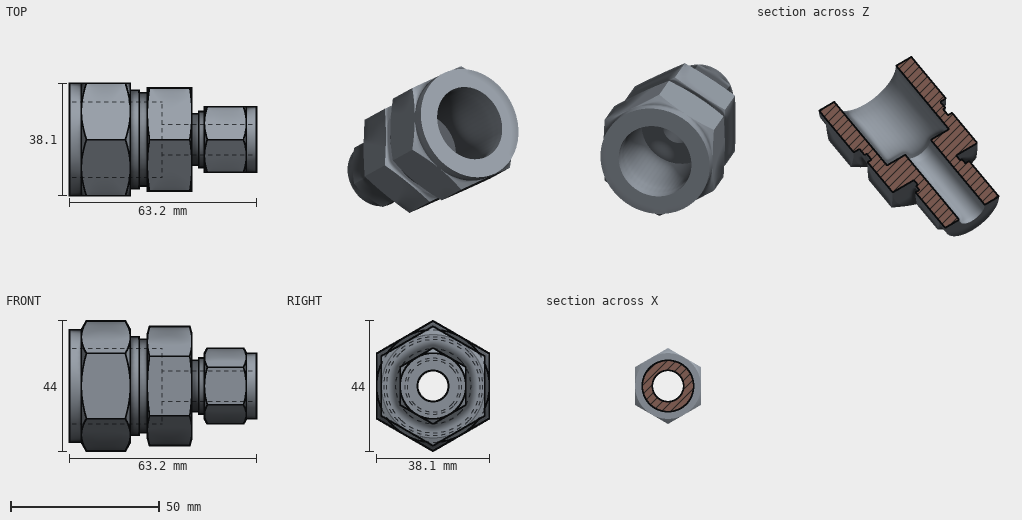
import cadquery as cq
import math


LARGE_NUT_START = 4.06
LARGE_NUT_END = 20.6
LARGE_COLLAR_END = 23.6
BODY_HEX_START = 26.35
BODY_HEX_END = 41.4
SMALL_NECK_END = 43.65
SMALL_NUT_START = 45.6
SMALL_NUT_END = 59.8
TOTAL_LENGTH = 63.24

LARGE_NUT_FLATS = 38.1
BODY_FLATS = 34.925
SMALL_NUT_FLATS = 22.225

LARGE_COLLAR_DIAMETER = 33.4
LARGE_NECK_DIAMETER = 31.6
SMALL_NECK_DIAMETER = 17.53
SMALL_COLLAR_DIAMETER = 19.05

NUT_BEVEL_ANGLE = 30.0
BODY_BEVEL_ANGLE = 15.0

TUBE_SOCKET_DIAMETER = 25.4
TUBE_SOCKET_DEPTH = 31.2
THROUGH_BORE_DIAMETER = 10.4


def cylinder(start, end, diameter):
    """Round section between two stations on the X axis."""
    return cq.Workplane("YZ", origin=(start, 0, 0)).circle(diameter / 2).extrude(end - start)


def bevelled_hexagon(start, end, flats, bevel_angle):
    """Hexagon with corners at top and bottom, its corners bevelled by a cone at both ends.

    Each cone meets the end face on the circle that touches the flats.
    """
    inner_radius = flats / 2
    corner_radius = flats / math.sqrt(3)
    bevel_length = (corner_radius - inner_radius) * math.tan(math.radians(bevel_angle))

    prism = (
        cq.Workplane("YZ", origin=(start, 0, 0))
        .transformed(rotate=(0, 0, 90))
        .polygon(6, 2 * corner_radius)
        .extrude(end - start)
    )
    envelope = (
        cq.Workplane("XZ")
        .moveTo(start, 0)
        .lineTo(start, inner_radius)
        .lineTo(start + bevel_length, corner_radius)
        .lineTo(end - bevel_length, corner_radius)
        .lineTo(end, inner_radius)
        .lineTo(end, 0)
        .close()
        .revolve(360, (0, 0, 0), (1, 0, 0))
    )
    return prism.intersect(envelope)


def large_nut():
    """Large nut with its round end collar, as wide as the flats."""
    collar = cylinder(0, LARGE_NUT_START, LARGE_NUT_FLATS)
    hexagon = bevelled_hexagon(LARGE_NUT_START, LARGE_NUT_END, LARGE_NUT_FLATS, NUT_BEVEL_ANGLE)
    return collar.union(hexagon)


def body():
    """Central hexagon with the stepped necks that lead to both nuts."""
    large_collar = cylinder(LARGE_NUT_END, LARGE_COLLAR_END, LARGE_COLLAR_DIAMETER)
    large_neck = cylinder(LARGE_COLLAR_END, BODY_HEX_START, LARGE_NECK_DIAMETER)
    hexagon = bevelled_hexagon(BODY_HEX_START, BODY_HEX_END, BODY_FLATS, BODY_BEVEL_ANGLE)
    small_neck = cylinder(BODY_HEX_END, SMALL_NECK_END, SMALL_NECK_DIAMETER)
    small_collar = cylinder(SMALL_NECK_END, SMALL_NUT_START, SMALL_COLLAR_DIAMETER)
    return large_collar.union(large_neck).union(hexagon).union(small_neck).union(small_collar)


def small_nut():
    """Small nut with its round end collar, as wide as the flats."""
    hexagon = bevelled_hexagon(SMALL_NUT_START, SMALL_NUT_END, SMALL_NUT_FLATS, NUT_BEVEL_ANGLE)
    collar = cylinder(SMALL_NUT_END, TOTAL_LENGTH, SMALL_NUT_FLATS)
    return hexagon.union(collar)


def bores():
    """Large tube socket, continued by the narrow bore through to the small end."""
    socket = cylinder(0, TUBE_SOCKET_DEPTH, TUBE_SOCKET_DIAMETER)
    through_bore = cylinder(0, TOTAL_LENGTH, THROUGH_BORE_DIAMETER)
    return socket.union(through_bore)


result = large_nut().union(body()).union(small_nut()).cut(bores())